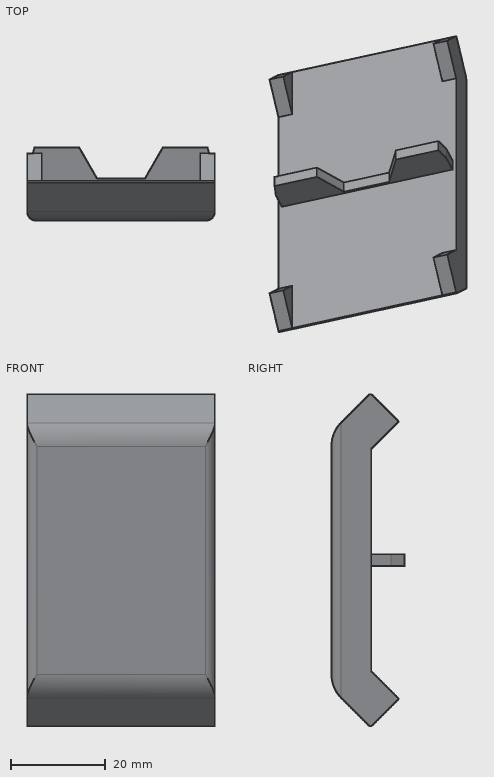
import cadquery as cq
import math

length = 70.0
width = 39.6
depth = 15.5

plate_thickness = 8.5
bend_angle = 45.0
bend_edge_radius = 7.0
side_edge_radius = 2.0

tip_y = 8.05

ear_width = 3.1

fin_thickness = 2.5
fin_tip_width = 36.55
fin_taper_depth = 2.95
fin_taper_angle = 14.0
notch_floor_y = 8.95
notch_floor_width = 10.1
notch_flank_angle = 30.0

half_length = length / 2
bend = math.radians(bend_angle)
front_corner_z = half_length - tip_y / math.tan(bend)
back_corner_z = front_corner_z - plate_thickness * math.tan(bend / 2)
ear_face_length = (half_length - back_corner_z) * math.sin(bend)
ear_tip_y = plate_thickness + ear_face_length * math.cos(bend)
ear_tip_z = half_length - ear_face_length * math.sin(bend)


def bent_plate():
    """Full-width plate with its front bends and long front edges rounded."""
    upper_half = [
        (0, front_corner_z),
        (tip_y, half_length),
        (plate_thickness, half_length),
        (ear_tip_y, ear_tip_z),
        (plate_thickness, back_corner_z),
    ]
    lower_half = [(y, -z) for y, z in reversed(upper_half)]
    body = (
        cq.Workplane("YZ")
        .polyline(upper_half + lower_half)
        .close()
        .extrude(width / 2, both=True)
        .edges("<Y and |X")
        .fillet(bend_edge_radius)
    )
    rounded_block = (
        cq.Workplane("XY")
        .box(width, depth, length, centered=(True, False, True))
        .edges("<Y and |Z")
        .fillet(side_edge_radius)
    )
    return body.intersect(rounded_block)


def gap_between_ears():
    """Block that clears everything behind the plate between the ears."""
    return (
        cq.Workplane("XY")
        .box(width - 2 * ear_width, depth, length, centered=(True, False, True))
        .translate((0, plate_thickness, 0))
    )


def cross_fin():
    """Fin with tapered outer corners and a trapezoidal notch in the middle."""
    tip_x = fin_tip_width / 2
    base_x = tip_x + fin_taper_depth * math.tan(math.radians(fin_taper_angle))
    floor_x = notch_floor_width / 2
    notch_depth = depth - notch_floor_y
    notch_mouth_x = floor_x + notch_depth * math.tan(math.radians(notch_flank_angle))
    right_half = [
        (base_x, plate_thickness),
        (base_x, depth - fin_taper_depth),
        (tip_x, depth),
        (notch_mouth_x, depth),
        (floor_x, notch_floor_y),
    ]
    left_half = [(-x, y) for x, y in reversed(right_half)]
    return (
        cq.Workplane("XY")
        .polyline(right_half + left_half)
        .close()
        .extrude(fin_thickness / 2, both=True)
    )


result = bent_plate().cut(gap_between_ears()).union(cross_fin())